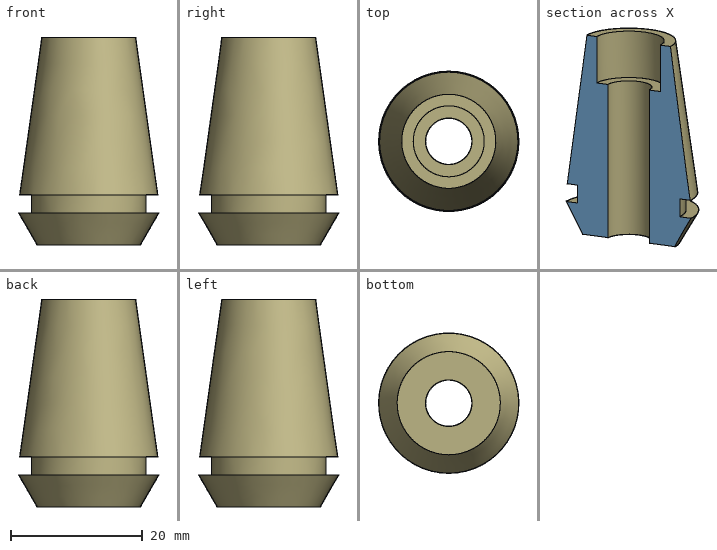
import cadquery as cq
import math

total_height = 31.5
collar_radius = 10.65

collar_height = 4.88
collar_angle = 30.0
collar_bottom_radius = collar_radius - collar_height * math.tan(math.radians(collar_angle))

groove_radius = 8.73
groove_width = 2.75
taper_start = collar_height + groove_width

taper_base_radius = 10.5
taper_angle = 8.0
taper_top_radius = taper_base_radius - (total_height - taper_start) * math.tan(math.radians(taper_angle))

through_radius = 3.5
counterbore_radius = 5.4
counterbore_depth = 7.3


def make_body():
    """Revolve the outer half-profile (radius, height) about Z."""
    return (
        cq.Workplane("YZ")
        .polyline([
            (0, 0),
            (collar_bottom_radius, 0),
            (collar_radius, collar_height),
            (groove_radius, collar_height),
            (groove_radius, taper_start),
            (taper_base_radius, taper_start),
            (taper_top_radius, total_height),
            (0, total_height),
        ])
        .close()
        .revolve(360, (0, 0), (0, 1))
    )


def cut_bore(body):
    """Cut the through hole and its counterbore from the top face."""
    return (
        body.faces(">Z")
        .workplane()
        .cboreHole(2 * through_radius, 2 * counterbore_radius, counterbore_depth)
    )


result = cut_bore(make_body())